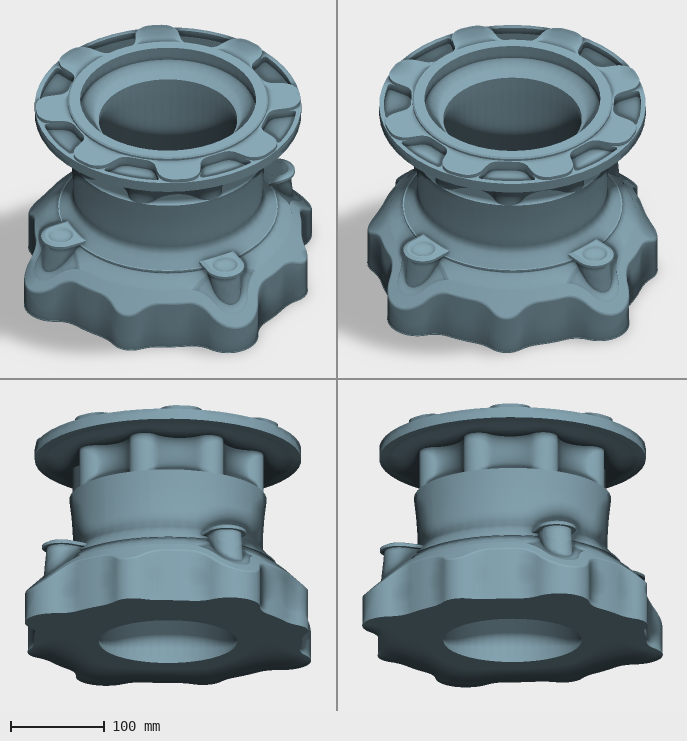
import math

import cadquery as cq

BASE_TIP_R = 169.6
FOOT_LIP = 0.38
FOOT_LIP_HEIGHT = 1.2
ROOT_R = 143.0
MAIN_LOBE_R = 32.0
MAIN_BLEND_R = 32.0
CORNER_LOBE_TIP_R = 155.0
CORNER_LOBE_R = 22.0
CORNER_BLEND_R = 47.0
BASE_EDGE_FILLET = 3.0
SEAM_ANGLE = 30.0

RIM_EDGE_Z = 31.5
RIM_SLOPE = 0.95
SHOULDER_SLOPE = 0.8
SHOULDER_TOP_R = 118.0
SHOULDER_STEP = 0.5
RIM_WIDTH = 10.8
RIM_OVERLAP = 2.0

COLLAR_R = 117.4
COLLAR_UNDERCUT_R = 116.0
COLLAR_BOTTOM_Z = 79.8
COLLAR_TOP_Z = 82.0
CONE_TOP_R = 104.2
CONE_TOP_Z = 95.2
COVE_MID_R = 102.2
COVE_MID_Z = 98.3
WAIST_R = 101.4
WAIST_Z = 102.5
WAIST_MID_R = 102.4
WAIST_MID_Z = 131.0
NECK_R = 105.5
NECK_BOTTOM_Z = 159.3

RIB_COUNT = 8
RIB_R = 16.0
FLUTE_FLOOR_R = 84.8

FLANGE_R = 285.0 / 2
FLANGE_UNDERSIDE_Z = 201.5
FLANGE_BOTTOM_Z = 204.2
FLANGE_TOP_Z = 215.7
FLANGE_CONE_R = 131.6
PAD_R = 141.5
PAD_TOP_Z = 219.8
SPIGOT_R = 107.0
SPIGOT_CHAMFER = 1.5
TOTAL_HEIGHT = 223.6
POCKET_COUNT = 8
POCKET_INNER_R = 108.2
POCKET_OUTER_R = 137.5
POCKET_FLOOR_Z = 208.0
POCKET_INNER_HALF_WIDTH = 17.5
POCKET_OUTER_HALF_WIDTH = 34.0
POCKET_INNER_FILLET = 14.0
POCKET_OUTER_FILLET = 3.0
PAD_LOBE_FILLET = 18.0

BORE_R = 148.0 / 2
MOUTH_R = 188.0 / 2
MOUTH_FLOOR_Z = 208.0
BORE_TOP_Z = 196.4

STUD_COUNT = 4
STUD_RADIUS_POS = 130.0
STUD_R = 15.8
STUD_LEAN = 5.0
STUD_BOTTOM_Z = 40.0
HEAD_R = 20.6
HEAD_INNER_REACH = 20.0
HEAD_BOTTOM_Z = 84.1
HEAD_EDGE_Z = 87.2
HEAD_TOP_Z = 89.3
HEAD_BEVEL = 4.0
DIMPLE_R = 13.9
DIMPLE_FLOOR_R = 11.8
DIMPLE_DEPTH = 1.4

RECESS_WALL_X = 120.0
RECESS_WALL_Z = 75.6
RECESS_WALL_SLOPE = 1.37
RECESS_HALF_WIDTH = 42.0
RECESS_DEPTH = 1.2
RECESS_FLOOR_SLOPE = 0.88


def polar(radius, degrees):
    angle = math.radians(degrees)
    return (radius * math.cos(angle), radius * math.sin(angle))


def rim_z(radius):
    return RIM_EDGE_Z + RIM_SLOPE * (BASE_TIP_R - radius)


def shoulder_z(radius):
    rim_inner_r = ROOT_R - RIM_WIDTH
    return rim_z(rim_inner_r) - SHOULDER_STEP + SHOULDER_SLOPE * (rim_inner_r - radius)


def revolve(points):
    """Solid of revolution about Z from (radius, height) points, its seam clear of the lobe axes."""
    solid = cq.Workplane("XZ").polyline(points).close().revolve(360, (0, 0), (0, 1))
    return solid.rotate((0, 0, 0), (0, 0, 1), SEAM_ANGLE)


def disc(radius, bottom, top):
    return cq.Workplane("XY").workplane(offset=bottom).circle(radius).extrude(top - bottom)


def around(shape, count):
    """Union of copies of a shape spread evenly about Z, the first one in place."""
    copies = shape
    for i in range(1, count):
        copies = copies.union(shape.rotate((0, 0, 0), (0, 0, 1), i * 360.0 / count))
    return copies


def round_outer_corners(solid, corner_r, fillet_r):
    """Fillet the vertical edges that lie at corner_r from the axis."""
    corners = [
        edge
        for edge in solid.edges("|Z").vals()
        if math.isclose(math.hypot(edge.Center().x, edge.Center().y), corner_r, abs_tol=0.01)
    ]
    return solid.newObject(corners).fillet(fillet_r)


def lobe_joints(tip_r, lobe_r, blend_r, root_r):
    """Polar (radius, degrees from the lobe axis) of a lobe's blend arc: root end, middle, lobe end."""
    lobe_pos = tip_r - lobe_r
    blend_pos = root_r + blend_r
    reach = lobe_r + blend_r
    spread = math.acos((lobe_pos**2 + blend_pos**2 - reach**2) / (2 * lobe_pos * blend_pos))
    cx = blend_pos * math.cos(spread)
    cy = blend_pos * math.sin(spread)
    to_lobe = math.atan2(-cy, lobe_pos - cx)
    to_root = math.atan2(-cy, -cx)
    to_lobe += 2 * math.pi if to_lobe < to_root else 0
    middle = (to_lobe + to_root) / 2
    joints = []
    for angle in (to_root, middle, to_lobe):
        x = cx + blend_r * math.cos(angle)
        y = cy + blend_r * math.sin(angle)
        joints.append((math.hypot(x, y), math.degrees(math.atan2(y, x))))
    return joints


def lobed_prism(inset, height, corner_lobes=True):
    """Prism of the base outline moved inward by inset, with or without the corner lobes."""
    root_r = ROOT_R - inset
    main = (BASE_TIP_R - inset, MAIN_LOBE_R - inset, MAIN_BLEND_R + inset, root_r)
    corner = (CORNER_LOBE_TIP_R - inset, CORNER_LOBE_R - inset, CORNER_BLEND_R + inset, root_r)
    lobes = []
    for quarter in range(4):
        lobes.append((quarter * 90.0, main))
        if corner_lobes:
            lobes.append((quarter * 90.0 + 45.0, corner))

    start_r, start_angle = lobe_joints(*main)[0]
    outline = cq.Workplane("XY").moveTo(*polar(start_r, -start_angle))
    for i, (axis, lobe) in enumerate(lobes):
        root_end, middle, lobe_end = lobe_joints(*lobe)
        outline = outline.threePointArc(
            polar(middle[0], axis - middle[1]), polar(lobe_end[0], axis - lobe_end[1])
        )
        outline = outline.threePointArc(
            polar(lobe[0], axis), polar(lobe_end[0], axis + lobe_end[1])
        )
        outline = outline.threePointArc(
            polar(middle[0], axis + middle[1]), polar(root_end[0], axis + root_end[1])
        )
        next_axis, next_lobe = lobes[(i + 1) % len(lobes)]
        next_axis += 360.0 if i == len(lobes) - 1 else 0.0
        root_start = axis + root_end[1]
        root_stop = next_axis - lobe_joints(*next_lobe)[0][1]
        outline = outline.threePointArc(
            polar(root_r, (root_start + root_stop) / 2), polar(root_r, root_stop)
        )
    return outline.close().extrude(height)


def below_cone(prism, cone_z):
    """Part of a prism that lies below the cone whose height at a radius is cone_z(radius)."""
    outer_r = BASE_TIP_R + 1.0
    top_z = cone_z(SHOULDER_TOP_R)
    envelope = revolve(
        [(0, 0), (outer_r, 0), (outer_r, cone_z(outer_r)), (SHOULDER_TOP_R, top_z), (0, top_z)]
    )
    return prism.intersect(envelope)


def make_base():
    """Lobed base: a rim strip along its edge and a slightly lower shoulder inside it."""
    height = rim_z(SHOULDER_TOP_R)
    opening = lobed_prism(RIM_WIDTH, height, corner_lobes=False)
    rim = below_cone(lobed_prism(0, height), rim_z)
    rim = rim.faces("%CONE").edges("not(>Z)").fillet(BASE_EDGE_FILLET)
    rim = rim.cut(opening)
    core = lobed_prism(RIM_WIDTH - RIM_OVERLAP, height, corner_lobes=False)
    inside = below_cone(core, shoulder_z)
    inside = inside.cut(around(stud_recess(), STUD_COUNT))
    foot = lobed_prism(-FOOT_LIP, FOOT_LIP_HEIGHT)
    return rim.union(inside).union(foot)


def stud_recess():
    """Recess over one main lobe, on +X, with a sloping flat wall and a conical floor."""
    inner = SHOULDER_TOP_R
    outer = BASE_TIP_R
    floor_z = shoulder_z(inner) - RECESS_DEPTH
    above_floor = revolve(
        [
            (inner, floor_z),
            (outer, floor_z - RECESS_FLOOR_SLOPE * (outer - inner)),
            (outer, HEAD_TOP_Z),
            (inner, HEAD_TOP_Z),
        ]
    )
    wall_top_x = RECESS_WALL_X - (HEAD_TOP_Z - RECESS_WALL_Z) / RECESS_WALL_SLOPE
    wall_foot_z = RECESS_WALL_Z - RECESS_WALL_SLOPE * (outer - RECESS_WALL_X)
    above_wall = (
        cq.Workplane("XZ")
        .polyline([(wall_top_x, HEAD_TOP_Z), (outer, wall_foot_z), (outer, HEAD_TOP_Z)])
        .close()
        .extrude(RECESS_HALF_WIDTH, both=True)
    )
    return above_floor.intersect(above_wall)


def make_waist():
    """Collar, cone and slightly flared waist up to the foot of the neck."""
    profile = (
        cq.Workplane("XZ")
        .moveTo(0, 0)
        .lineTo(COLLAR_UNDERCUT_R, 0)
        .lineTo(COLLAR_UNDERCUT_R, COLLAR_BOTTOM_Z)
        .lineTo(COLLAR_R, COLLAR_BOTTOM_Z)
        .lineTo(COLLAR_R, COLLAR_TOP_Z)
        .lineTo(COLLAR_UNDERCUT_R, COLLAR_TOP_Z)
        .lineTo(CONE_TOP_R, CONE_TOP_Z)
        .threePointArc((COVE_MID_R, COVE_MID_Z), (WAIST_R, WAIST_Z))
        .threePointArc((WAIST_MID_R, WAIST_MID_Z), (NECK_R, NECK_BOTTOM_Z))
        .lineTo(0, NECK_BOTTOM_Z)
        .close()
    )
    return profile.revolve(360, (0, 0), (0, 1))


def make_neck():
    """Column whose outline alternates round ribs and round flutes that meet smoothly."""
    half_pitch = 180.0 / RIB_COUNT
    rib_pos = NECK_R - RIB_R
    along = rib_pos * math.cos(math.radians(half_pitch))
    flute_r = (FLUTE_FLOOR_R**2 + rib_pos**2 - 2 * along * FLUTE_FLOOR_R - RIB_R**2) / (
        2 * (RIB_R + along - FLUTE_FLOOR_R)
    )
    flute_x, flute_y = polar(FLUTE_FLOOR_R + flute_r, half_pitch)
    share = RIB_R / (RIB_R + flute_r)
    joint_x = rib_pos + share * (flute_x - rib_pos)
    joint_y = share * flute_y
    joint_r = math.hypot(joint_x, joint_y)
    joint_angle = math.degrees(math.atan2(joint_y, joint_x))

    outline = cq.Workplane("XY").workplane(offset=NECK_BOTTOM_Z).moveTo(*polar(joint_r, -joint_angle))
    for i in range(RIB_COUNT):
        axis = i * 2 * half_pitch
        outline = outline.threePointArc(polar(NECK_R, axis), polar(joint_r, axis + joint_angle))
        outline = outline.threePointArc(
            polar(FLUTE_FLOOR_R, axis + half_pitch),
            polar(joint_r, axis + 2 * half_pitch - joint_angle),
        )
    return outline.close().extrude(FLANGE_BOTTOM_Z - NECK_BOTTOM_Z)


def pocket_prism(outer_r, bottom, top):
    """Tapered pocket footprint on +X, open outward to outer_r."""
    slope = (POCKET_OUTER_HALF_WIDTH - POCKET_INNER_HALF_WIDTH) / (POCKET_OUTER_R - POCKET_INNER_R)
    inner_w = POCKET_INNER_HALF_WIDTH
    outer_w = inner_w + slope * (outer_r - POCKET_INNER_R)
    points = [
        (POCKET_INNER_R, -inner_w),
        (outer_r, -outer_w),
        (outer_r, outer_w),
        (POCKET_INNER_R, inner_w),
    ]
    prism = cq.Workplane("XY").workplane(offset=bottom).polyline(points).close().extrude(top - bottom)
    return prism.edges("|Z and <X").fillet(POCKET_INNER_FILLET)


def make_flange():
    underside = revolve(
        [
            (0, FLANGE_UNDERSIDE_Z),
            (NECK_R, FLANGE_UNDERSIDE_Z),
            (FLANGE_CONE_R, FLANGE_BOTTOM_Z),
            (0, FLANGE_BOTTOM_Z),
        ]
    )
    flange = disc(FLANGE_R, FLANGE_BOTTOM_Z, FLANGE_TOP_Z).union(underside)
    pocket = pocket_prism(FLANGE_R, POCKET_FLOOR_Z, FLANGE_TOP_Z)
    pocket = pocket.intersect(disc(POCKET_OUTER_R, POCKET_FLOOR_Z, FLANGE_TOP_Z))
    pocket = round_outer_corners(pocket, POCKET_OUTER_R, POCKET_OUTER_FILLET)
    flange = flange.cut(around(pocket, POCKET_COUNT))

    gap = pocket_prism(FLANGE_R + PAD_LOBE_FILLET, FLANGE_TOP_Z, PAD_TOP_Z)
    pad = disc(PAD_R, FLANGE_TOP_Z, PAD_TOP_Z).cut(around(gap, POCKET_COUNT))
    pad = round_outer_corners(pad, PAD_R, PAD_LOBE_FILLET)
    spigot = disc(SPIGOT_R, FLANGE_TOP_Z, TOTAL_HEIGHT).faces(">Z").edges().chamfer(SPIGOT_CHAMFER)
    return flange.union(pad).union(spigot)


def make_bore():
    return revolve(
        [
            (0, 0),
            (BORE_R, 0),
            (BORE_R, BORE_TOP_Z),
            (MOUTH_R, MOUTH_FLOOR_Z),
            (MOUTH_R, TOTAL_HEIGHT),
            (0, TOTAL_HEIGHT),
        ]
    )


def stud_outline(sketch_plane, center_x, radius, inner_x):
    """Outline with a round outer end and a square end toward the axis."""
    return (
        sketch_plane.moveTo(inner_x, -radius)
        .lineTo(center_x, -radius)
        .threePointArc((center_x + radius, 0), (center_x, radius))
        .lineTo(inner_x, radius)
        .close()
    )


def make_stud():
    """Leaning stud with a bevelled head and a shallow dimple, on +X."""
    inner_x = STUD_RADIUS_POS - HEAD_INNER_REACH
    root = cq.Workplane("XY").workplane(offset=STUD_BOTTOM_Z)
    body = stud_outline(root, STUD_RADIUS_POS + STUD_LEAN, STUD_R, inner_x)
    top = body.workplane(offset=HEAD_BOTTOM_Z - STUD_BOTTOM_Z)
    body = stud_outline(top, STUD_RADIUS_POS, STUD_R, inner_x).loft(ruled=True)

    plate_plane = cq.Workplane("XY").workplane(offset=HEAD_BOTTOM_Z)
    plate = stud_outline(plate_plane, STUD_RADIUS_POS, HEAD_R, inner_x)
    plate = plate.extrude(HEAD_EDGE_Z - HEAD_BOTTOM_Z)

    bevel_height = HEAD_TOP_Z - HEAD_EDGE_Z
    crown_plane = cq.Workplane("XY").workplane(offset=HEAD_EDGE_Z)
    crown = stud_outline(crown_plane, STUD_RADIUS_POS, HEAD_R, inner_x)
    crown = crown.workplane(offset=bevel_height)
    crown = stud_outline(
        crown, STUD_RADIUS_POS, HEAD_R - HEAD_BEVEL, inner_x + HEAD_BEVEL
    ).loft(ruled=True)

    dimple = revolve(
        [
            (0, HEAD_TOP_Z - DIMPLE_DEPTH),
            (DIMPLE_FLOOR_R, HEAD_TOP_Z - DIMPLE_DEPTH),
            (DIMPLE_R, HEAD_TOP_Z),
            (0, HEAD_TOP_Z),
        ]
    ).translate((STUD_RADIUS_POS, 0, 0))
    return body.union(plate).union(crown).cut(dimple)


body = make_base().union(make_waist()).union(make_neck()).union(make_flange())
body = body.union(around(make_stud(), STUD_COUNT))
result = body.cut(make_bore()).solids()